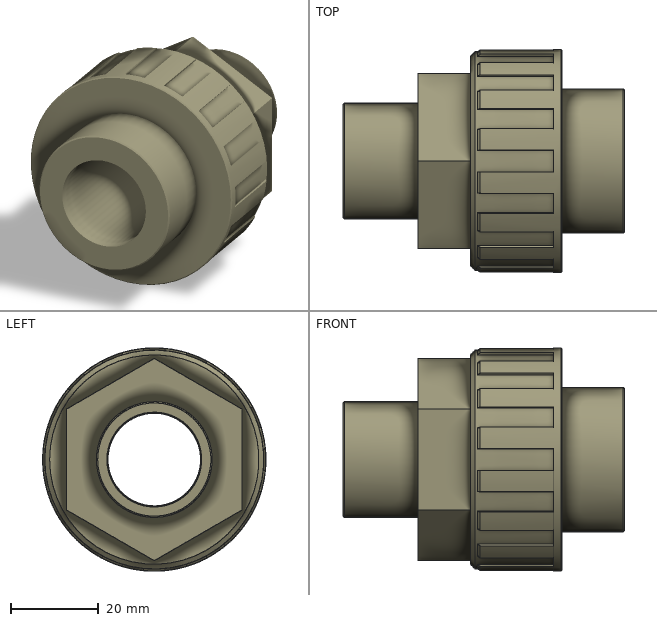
import cadquery as cq
import math

TOTAL_LENGTH = 64.3
HEX_START = 17.1
HEX_LENGTH = 12.0
NUT_START = HEX_START + HEX_LENGTH
NUT_LENGTH = 20.9
NUT_END = NUT_START + NUT_LENGTH
RIM_LENGTH = 1.95
RIM_START = NUT_END - RIM_LENGTH

SPIGOT_RADIUS = 26.44 / 2
SOCKET_RADIUS = 33.0 / 2
BODY_RADIUS = 49.98 / 2
RIM_RADIUS = 51.0 / 2
BORE_RADIUS = 21.15 / 2
HEX_ACROSS_FLATS = 40.0

END_CHAMFER = 0.3
BORE_CHAMFER = 0.25
NUT_NOSE_CHAMFER = 1.1
NUT_RIM_CHAMFER = 0.25

PAD_COUNT = 16
PAD_PITCH = 360 / PAD_COUNT
PAD_ANGLE = PAD_PITCH / 2
PAD_START = NUT_START + 1.6
PAD_RAMP_LENGTH = 0.65
PAD_ROOT_DEPTH = 1.0


def turn(profile, angle=360):
    """Revolve a closed outline of (axial station, radius) points about the X axis, starting at +Y."""
    return cq.Workplane("XY").polyline(profile).close().revolve(angle, (0, 0, 0), (1, 0, 0))


def make_turned_body():
    """Spigot, union nut without its grip pads, and socket as one turned solid."""
    profile = [
        (0, 0),
        (0, SPIGOT_RADIUS - END_CHAMFER),
        (END_CHAMFER, SPIGOT_RADIUS),
        (NUT_START, SPIGOT_RADIUS),
        (NUT_START, BODY_RADIUS - NUT_NOSE_CHAMFER),
        (NUT_START + NUT_NOSE_CHAMFER, BODY_RADIUS),
        (RIM_START, BODY_RADIUS),
        (RIM_START, RIM_RADIUS),
        (NUT_END - NUT_RIM_CHAMFER, RIM_RADIUS),
        (NUT_END, RIM_RADIUS - NUT_RIM_CHAMFER),
        (NUT_END, SOCKET_RADIUS),
        (TOTAL_LENGTH - END_CHAMFER, SOCKET_RADIUS),
        (TOTAL_LENGTH, SOCKET_RADIUS - END_CHAMFER),
        (TOTAL_LENGTH, 0),
    ]
    return turn(profile)


def make_pad(start_angle):
    """Raised grip pad with radial sides and a sloped front, running into the nut rim."""
    root_length = PAD_ROOT_DEPTH * PAD_RAMP_LENGTH / (RIM_RADIUS - BODY_RADIUS)
    root_radius = BODY_RADIUS - PAD_ROOT_DEPTH
    profile = [
        (PAD_START - root_length, root_radius),
        (PAD_START + PAD_RAMP_LENGTH, RIM_RADIUS),
        (RIM_START, RIM_RADIUS),
        (RIM_START, root_radius),
    ]
    return turn(profile, PAD_ANGLE).rotate((0, 0, 0), (1, 0, 0), start_angle)


def add_pads(body):
    """Grip pads evenly spaced around the nut, with gaps centred on the Y and Z axes."""
    first_angle = (PAD_PITCH - PAD_ANGLE) / 2
    for index in range(PAD_COUNT):
        body = body.union(make_pad(first_angle + index * PAD_PITCH))
    return body


def make_hexagon():
    """Hexagonal collar with two corners on the Z axis."""
    across_corners = HEX_ACROSS_FLATS / math.cos(math.pi / 6)
    collar = cq.Workplane("YZ").workplane(offset=HEX_START).polygon(6, across_corners).extrude(HEX_LENGTH)
    return collar.rotate((0, 0, 0), (1, 0, 0), 90)


def make_bore():
    """Through bore with a chamfered mouth at the spigot end."""
    profile = [
        (0, 0),
        (0, BORE_RADIUS + BORE_CHAMFER),
        (BORE_CHAMFER, BORE_RADIUS),
        (TOTAL_LENGTH, BORE_RADIUS),
        (TOTAL_LENGTH, 0),
    ]
    return turn(profile)


result = add_pads(make_turned_body())
result = result.union(make_hexagon())
result = result.cut(make_bore())